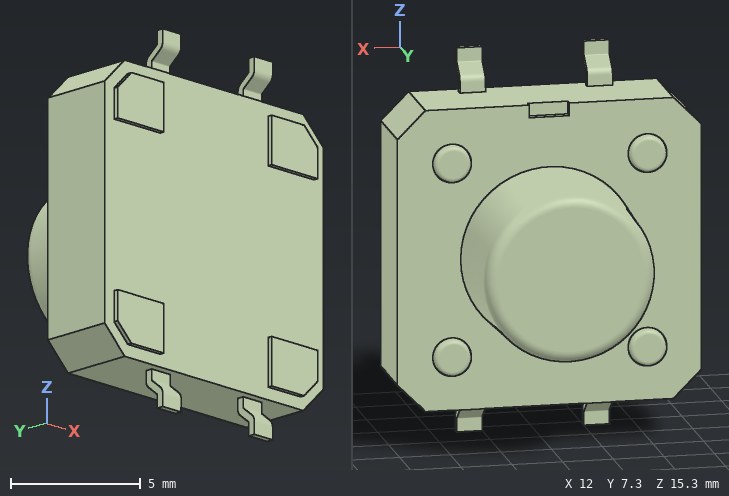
import cadquery as cq
import math

body_size = 12.0
body_depth = 3.09
body_chamfer = 1.1

button_height = 4.01
button_base_radius = 3.5
button_rim_radius = 3.37
button_fillet = 0.49

rivet_radius = 0.75
rivet_height = 0.3
rivet_fillet = 0.2
rivet_offset = 3.85

pad_width = 2.52
pad_height = 2.0
pad_thickness = 0.2
pad_inset = 0.52
pad_chamfer = 0.75

lead_span = 15.3
lead_width = 1.01
lead_thickness = 0.3
lead_offset = 2.51
lead_inside_radius = 0.06
lead_root_depth = 0.4
lead_root_length = 0.43
lead_foot_length = 0.54

notch_width = 1.58
notch_depth = 0.29
notch_reach = 0.5

half_body = body_size / 2
signs = (-1, 1)
corners = [(x_sign, z_sign) for x_sign in signs for z_sign in signs]


def make_body():
    """Square block with its four long corners chamfered."""
    block = cq.Workplane("XY").box(body_size, body_depth, body_size)
    return block.edges("|Y").chamfer(body_chamfer).translate((0, body_depth / 2, 0))


def make_notch():
    """Cutter for the shallow notch in the middle of the upper back edge."""
    return cq.Workplane("XY").box(notch_width, notch_depth, notch_reach).translate(
        (0, body_depth - notch_depth / 2, half_body - notch_reach / 2)
    )


def make_button():
    """Tapered round button with a rounded rim, standing on the back face."""
    height_to_fillet = button_height - button_fillet
    flat_radius = button_rim_radius - button_fillet
    arc_reach = button_fillet * math.sqrt(0.5)
    profile = (
        cq.Workplane("XY")
        .lineTo(button_base_radius, 0)
        .lineTo(button_rim_radius, height_to_fillet)
        .threePointArc((flat_radius + arc_reach, height_to_fillet + arc_reach), (flat_radius, button_height))
        .lineTo(0, button_height)
        .close()
    )
    return profile.revolve(360, (0, 0, 0), (0, 1, 0)).translate((0, body_depth, 0))


def make_rivet(x_sign, z_sign):
    """Low round rivet head near one corner of the back face."""
    head = cq.Workplane("XZ").circle(rivet_radius).extrude(-rivet_height)
    head = head.faces(">Y").edges().fillet(rivet_fillet)
    return head.translate((x_sign * rivet_offset, body_depth, z_sign * rivet_offset))


def make_pad(x_sign, z_sign):
    """Raised foot on the mounting face; its corner follows the body chamfer."""
    outer = half_body - pad_inset
    inner_x = outer - pad_width
    inner_z = outer - pad_height
    outline = [
        (inner_x, inner_z),
        (outer, inner_z),
        (outer, outer - pad_chamfer),
        (outer - pad_chamfer, outer),
        (inner_x, outer),
    ]
    points = [(x_sign * x, z_sign * z) for x, z in outline]
    return cq.Workplane("XZ").polyline(points).close().extrude(pad_thickness)


def make_lead(x_sign, z_sign):
    """Strip of constant thickness, bent twice so that its foot is level with the pads."""
    foot_front = -pad_thickness
    foot_back = foot_front + lead_thickness
    root_back = lead_root_depth + lead_thickness
    tip = lead_span / 2

    outside_radius = lead_inside_radius + lead_thickness
    root_center = (lead_root_depth - lead_inside_radius, half_body + lead_root_length)
    foot_center = (foot_back + lead_inside_radius, tip - lead_foot_length)
    drop = root_center[0] - foot_center[0]
    rise = foot_center[1] - root_center[1]
    tangent_gap = outside_radius + lead_inside_radius
    bend = math.atan2(drop, rise) + math.asin(tangent_gap / math.hypot(drop, rise))

    def root_arc(radius, angle):
        return (
            root_center[0] + radius * math.cos(angle),
            root_center[1] + radius * math.sin(angle),
        )

    def foot_arc(radius, angle):
        return (
            foot_center[0] - radius * math.cos(angle),
            foot_center[1] - radius * math.sin(angle),
        )

    buried_z = half_body - lead_thickness
    strip = (
        cq.Workplane("YZ")
        .moveTo(lead_root_depth, buried_z)
        .lineTo(root_back, buried_z)
        .lineTo(root_back, root_center[1])
        .threePointArc(root_arc(outside_radius, bend / 2), root_arc(outside_radius, bend))
        .lineTo(*foot_arc(lead_inside_radius, bend))
        .threePointArc(foot_arc(lead_inside_radius, bend / 2), foot_arc(lead_inside_radius, 0))
        .lineTo(foot_back, tip)
        .lineTo(foot_front, tip)
        .lineTo(foot_front, foot_center[1])
        .threePointArc(foot_arc(outside_radius, bend / 2), foot_arc(outside_radius, bend))
        .lineTo(*root_arc(lead_inside_radius, bend))
        .threePointArc(root_arc(lead_inside_radius, bend / 2), root_arc(lead_inside_radius, 0))
        .close()
        .extrude(lead_width / 2, both=True)
    )
    if z_sign < 0:
        strip = strip.mirror("XY")
    return strip.translate((x_sign * lead_offset, 0, 0))


result = make_body().cut(make_notch()).union(make_button())
for x_sign, z_sign in corners:
    result = result.union(make_rivet(x_sign, z_sign))
    result = result.union(make_pad(x_sign, z_sign))
    result = result.union(make_lead(x_sign, z_sign))